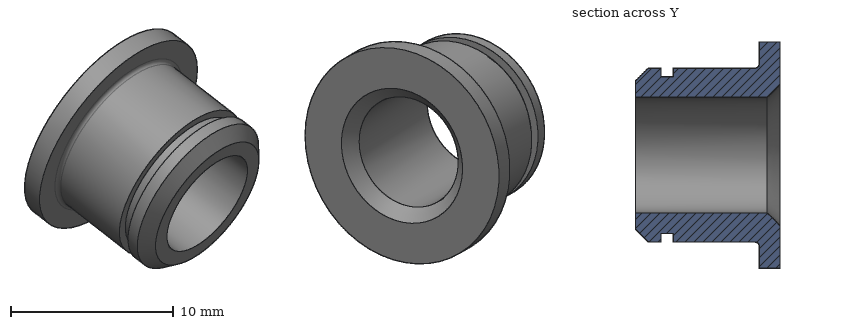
import cadquery as cq

total_length = 8.93
flange_diameter = 13.97
flange_thickness = 1.3
barrel_diameter = 10.74
bore_diameter = 7.12
edge_chamfer = 0.8
root_fillet = 0.25

groove_diameter = 9.7
groove_width = 0.74
groove_to_tip = 1.59


def cylinder(diameter, start, length):
    """Solid cylinder along X, beginning at X = start."""
    return cq.Workplane("YZ", origin=(start, 0, 0)).circle(diameter / 2).extrude(length)


barrel = cylinder(barrel_diameter, 0, total_length).faces(">X").chamfer(edge_chamfer)
flange = cylinder(flange_diameter, 0, flange_thickness)
body = barrel.union(flange)

root_radius = barrel_diameter / 2
root_edge = cq.selectors.BoxSelector(
    (flange_thickness - root_fillet, -root_radius - root_fillet, -root_radius - root_fillet),
    (flange_thickness + root_fillet, root_radius + root_fillet, root_radius + root_fillet),
    boundingbox=True,
)
body = body.edges(root_edge).fillet(root_fillet)

groove_start = total_length - groove_to_tip - groove_width
groove_ring = cylinder(flange_diameter, groove_start, groove_width).cut(
    cylinder(groove_diameter, groove_start, groove_width)
)
body = body.cut(groove_ring)

body = body.cut(cylinder(bore_diameter, 0, total_length))
result = body.faces("<X").edges("%CIRCLE").edges(cq.selectors.RadiusNthSelector(0)).chamfer(edge_chamfer)